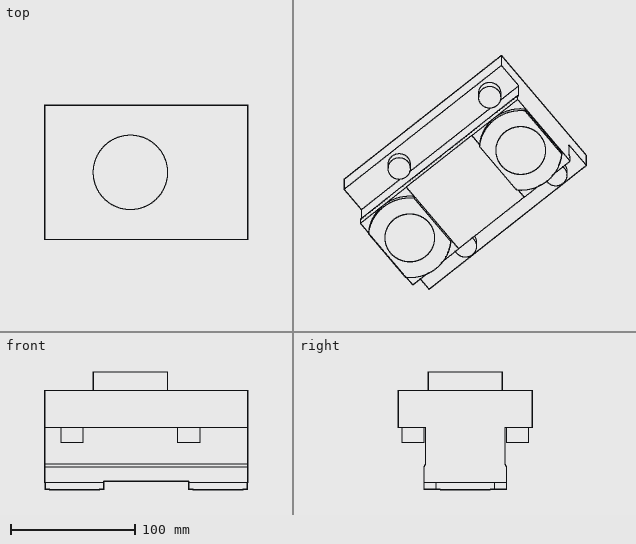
import cadquery as cq

LENGTH = 163.5
PLATE_WIDTH = 108.0
PLATE_THICKNESS = 30.0
LEFT_END = -69.0
TOTAL_HEIGHT = 95.0

BOSS_DIAMETER = 59.9
BOSS_HEIGHT = 15.0

NECK_WIDTH = 64.0
BASE_WIDTH = 66.6
SLOPE_TOP_DEPTH = 59.0
SLOPE_HEIGHT = 2.7

PIN_DIAMETER = 18.0
PIN_LENGTH = 12.0
PIN_SPACING_X = 94.0
PIN_SPACING_Y = 84.0

FOOT_LENGTH = 47.2
FOOT_HEIGHT = 5.5
FOOT_END_GAP = 0.5
PAD_DIAMETER = 40.01
PAD_HEIGHT = 0.5

RELIEF_DEPTH = 0.8

block_bottom = -(TOTAL_HEIGHT - BOSS_HEIGHT - FOOT_HEIGHT - PAD_HEIGHT)
center_x = LEFT_END + LENGTH / 2
foot_spacing = LENGTH - FOOT_LENGTH - 2 * FOOT_END_GAP
relief_length = foot_spacing - FOOT_LENGTH


def cylinder(diameter, height, x, y, top):
    """Upright cylinder hanging down from the level `top`."""
    return cq.Workplane("XY", origin=(x, y, top)).circle(diameter / 2).extrude(-height)


def make_plate():
    plate = cq.Workplane("XY", origin=(center_x, 0, 0)).rect(LENGTH, PLATE_WIDTH)
    return plate.extrude(-PLATE_THICKNESS)


def make_block():
    """Constant cross-section along X with sloped shoulders down to the base."""
    neck = NECK_WIDTH / 2
    base = BASE_WIDTH / 2
    slope_top = -SLOPE_TOP_DEPTH
    slope_bottom = slope_top - SLOPE_HEIGHT
    section = [
        (-neck, -PLATE_THICKNESS),
        (neck, -PLATE_THICKNESS),
        (neck, slope_top),
        (base, slope_bottom),
        (base, block_bottom),
        (-base, block_bottom),
        (-base, slope_bottom),
        (-neck, slope_top),
    ]
    return cq.Workplane("YZ", origin=(LEFT_END, 0, 0)).polyline(section).close().extrude(LENGTH)


def make_foot(x):
    disc = cylinder(BASE_WIDTH, FOOT_HEIGHT, x, 0, block_bottom)
    flats = cq.Workplane("XY", origin=(x, 0, block_bottom)).rect(FOOT_LENGTH, BASE_WIDTH)
    pad = cylinder(PAD_DIAMETER, PAD_HEIGHT, x, 0, block_bottom - FOOT_HEIGHT)
    return disc.intersect(flats.extrude(-FOOT_HEIGHT)).union(pad)


def make_relief():
    relief = cq.Workplane("XY", origin=(center_x, 0, block_bottom)).rect(relief_length, BASE_WIDTH)
    return relief.extrude(RELIEF_DEPTH)


result = make_plate().union(make_block()).cut(make_relief())
result = result.union(cylinder(BOSS_DIAMETER, BOSS_HEIGHT, 0, 0, BOSS_HEIGHT))

for pin_x in (-PIN_SPACING_X / 2, PIN_SPACING_X / 2):
    for pin_y in (-PIN_SPACING_Y / 2, PIN_SPACING_Y / 2):
        result = result.union(cylinder(PIN_DIAMETER, PIN_LENGTH, pin_x, pin_y, -PLATE_THICKNESS))

for foot_x in (center_x - foot_spacing / 2, center_x + foot_spacing / 2):
    result = result.union(make_foot(foot_x))